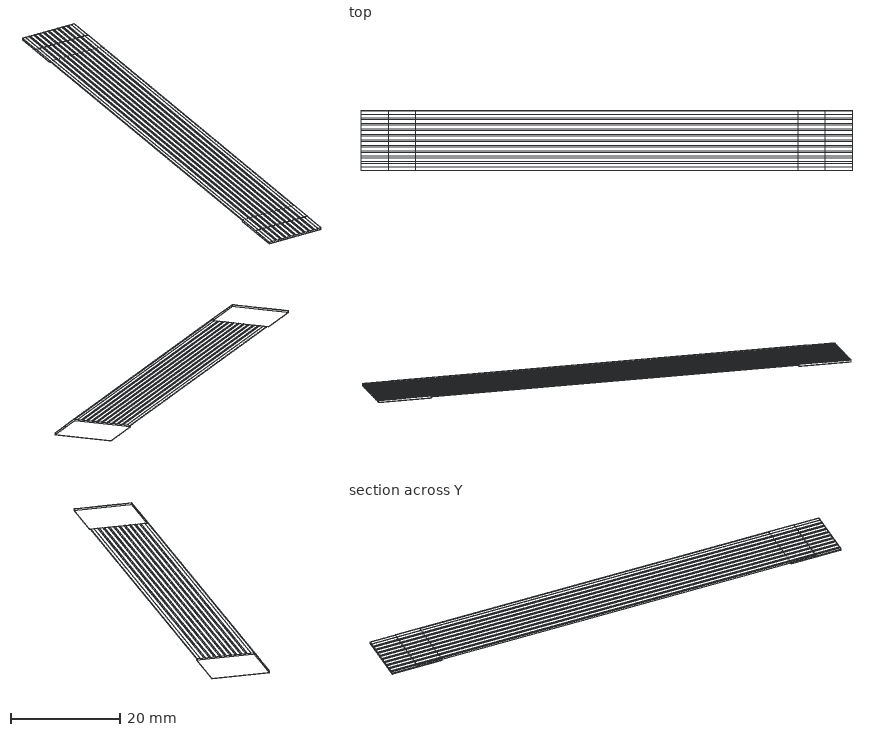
import cadquery as cq

length = 90.0
width = 11.0
groove_count = 10
groove_pitch = width / (groove_count + 1)
groove_width = 0.7

stiffener_length = 10.0
exposed_length = 5.0
cover_length = length - 2 * exposed_length

total_thickness = 0.41
groove_depth = 0.04
base_thickness = 0.1 + groove_depth
cover_thickness = 0.045
stiffener_thickness = total_thickness - base_thickness - cover_thickness

stiffener_bottom = -total_thickness / 2
base_bottom = stiffener_bottom + stiffener_thickness
cover_bottom = base_bottom + base_thickness
groove_bottom = cover_bottom - groove_depth


def layer(size_x, size_y, thickness, bottom, center_x=0, center_y=0):
    """Flat rectangular strip resting on the given height."""
    strip = cq.Workplane("XY").box(size_x, size_y, thickness, centered=(True, True, False))
    return strip.translate((center_x, center_y, bottom))


result = layer(length, width, base_thickness, base_bottom)
for index in range(groove_count):
    groove_y = (index - (groove_count - 1) / 2) * groove_pitch
    result = result.cut(layer(length, groove_width, groove_depth, groove_bottom, center_y=groove_y))

result = result.union(layer(cover_length, width, cover_thickness, cover_bottom))

for side in (-1, 1):
    stiffener_x = side * (length - stiffener_length) / 2
    stiffener = layer(stiffener_length, width, stiffener_thickness, stiffener_bottom, center_x=stiffener_x)
    result = result.union(stiffener)